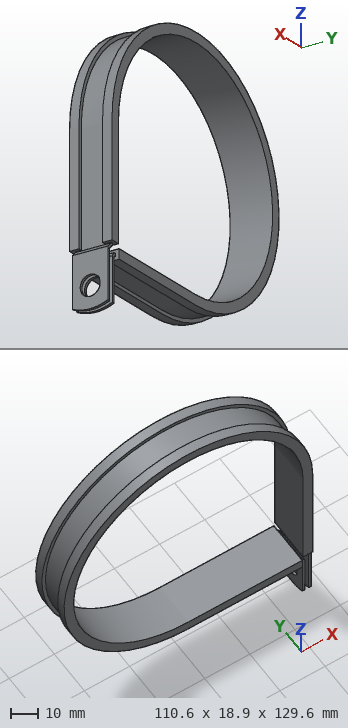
import cadquery as cq
import math

outer_radius = 55.1
cushion_thickness = 4.3
cushion_width = 18.9
vertical_leg_end_z = -49.0
horizontal_leg_end_x = 50.4

band_outer_radius = 53.5
band_thickness = 1.2
band_width = 15.8
groove_width = 10.5

tab_end_z = -74.5
tab_corner_z = -72.8
outer_tab_x = 55.5
inner_tab_x = 52.6
outer_tab_bend_z = -51.5
outer_bend_start_z = -49.5
inner_tab_bend_z = -54.3
inner_bend_start_x = 51.0
hole_diameter = 8.8
hole_z = -65.0


def loop_strip(radius, thickness, width):
    """Constant-thickness strip following the loop, centred on Y."""
    inner = radius - thickness
    diagonal = radius * math.sqrt(0.5)
    inner_diagonal = inner * math.sqrt(0.5)
    return (
        cq.Workplane("XZ")
        .moveTo(radius, vertical_leg_end_z)
        .lineTo(radius, 0)
        .threePointArc((0, radius), (-radius, 0))
        .threePointArc((-diagonal, -diagonal), (0, -radius))
        .lineTo(horizontal_leg_end_x, -radius)
        .lineTo(horizontal_leg_end_x, -inner)
        .lineTo(0, -inner)
        .threePointArc((-inner_diagonal, -inner_diagonal), (-inner, 0))
        .threePointArc((0, inner), (inner, 0))
        .lineTo(inner, vertical_leg_end_z)
        .close()
        .extrude(width / 2, both=True)
    )


def sheet_profile(path):
    """Closed profile of a bent sheet, offset evenly with mitred bends."""
    half = band_thickness / 2
    count = len(path)
    headings = [
        math.atan2(path[i + 1][1] - path[i][1], path[i + 1][0] - path[i][0])
        for i in range(count - 1)
    ]
    left = []
    right = []
    for i, (x, z) in enumerate(path):
        before = headings[max(i - 1, 0)]
        after = headings[min(i, count - 2)]
        normal = (before + after) / 2 + math.pi / 2
        reach = half / math.cos((after - before) / 2)
        dx = reach * math.cos(normal)
        dz = reach * math.sin(normal)
        left.append((x + dx, z + dz))
        right.append((x - dx, z - dz))
    return left + right[::-1]


def band_end(path):
    """Bent end of the band, extruded across its width."""
    return (
        cq.Workplane("XZ")
        .polyline(sheet_profile(path))
        .close()
        .extrude(band_width / 2, both=True)
    )


groove_depth = outer_radius - band_outer_radius
cushion = loop_strip(outer_radius, cushion_thickness, cushion_width)
groove = loop_strip(outer_radius, groove_depth, groove_width)
loop = cushion.cut(groove)

band_middle = band_outer_radius - band_thickness / 2
outer_middle_x = outer_tab_x - band_thickness / 2
inner_middle_x = inner_tab_x - band_thickness / 2
embed_length = 1.3
outer_end = band_end([
    (band_middle, vertical_leg_end_z + embed_length),
    (band_middle, outer_bend_start_z),
    (outer_middle_x, outer_tab_bend_z),
    (outer_middle_x, tab_end_z),
])
inner_end = band_end([
    (horizontal_leg_end_x - embed_length, -band_middle),
    (inner_bend_start_x, -band_middle),
    (inner_middle_x, inner_tab_bend_z),
    (inner_middle_x, tab_end_z),
])

half_width = band_width / 2
tab_envelope = (
    cq.Workplane("YZ")
    .moveTo(-half_width, 0)
    .lineTo(-half_width, tab_corner_z)
    .threePointArc((0, tab_end_z), (half_width, tab_corner_z))
    .lineTo(half_width, 0)
    .close()
    .extrude(outer_radius + cushion_thickness)
)
tabs = outer_end.union(inner_end).intersect(tab_envelope)

bolt_hole = (
    cq.Workplane("YZ")
    .center(0, hole_z)
    .circle(hole_diameter / 2)
    .extrude(outer_radius + cushion_thickness)
)

result = loop.union(tabs.cut(bolt_hole))